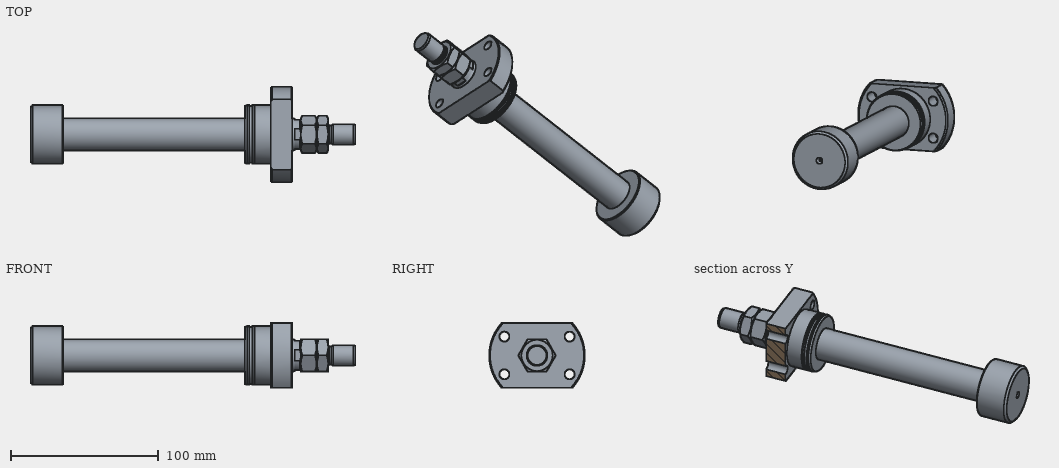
import cadquery as cq
import math


piston_length = 22.0
piston_radius = 20.0
piston_front_chamfer = 1.5
piston_back_chamfer = 0.7

centre_mouth_radius = 2.2
centre_drill_radius = 0.9
centre_drill_depth = 3.3
centre_cone_half_angle = 30
centre_cone_depth = (centre_mouth_radius - centre_drill_radius) / math.tan(math.radians(centre_cone_half_angle))

spigot_start = 145.2
spigot_length = 17.4
spigot_radius = 20.0
spigot_chamfer_length = 1.5
spigot_chamfer_height = 0.7
wide_groove_offset = 2.9
wide_groove_width = 2.0
wide_groove_depth = 0.7
narrow_groove_offset = 6.2
narrow_groove_width = 0.5
narrow_groove_depth = 0.2
flange_start = spigot_start + spigot_length
flange_thickness = 14.5
flange_end = flange_start + flange_thickness
flange_width = 65.0
flange_radius = flange_width / 2
flange_height = 44.0
flange_front_chamfer = 1.0
flange_back_chamfer = 0.7
bolt_hole_radius = 3.3
bolt_circle_radius = 25.5
bolt_angle = 30

rod_radius = 11.0
taper_gap = 0.7
taper_length = 1.3
taper_start = flange_end + taper_gap
wrench_start = taper_start + taper_length
wrench_diameter = 21.3
wrench_radius = wrench_diameter / 2
wrench_across_flats = 20.0
rod_shoulder = 182.8
shoulder_chamfer = 0.5

nut_across_flats = 22.0
nut_corner_radius = nut_across_flats / math.sqrt(3)
nut_face_radius = 10.5
nut_chamfer_angle = 30
thick_hexagon = 11.0
thin_hexagon = 8.0
nut_end = rod_shoulder + thick_hexagon + thin_hexagon

stud_radius = 7.0
stud_end = 220.0
relief_inset = 0.5
relief_radius = 6.2
relief_taper = 1.0
relief_floor = 1.3
relief_start = nut_end - relief_inset
relief_floor_start = relief_start + relief_taper
relief_floor_end = relief_floor_start + relief_floor
relief_end = relief_floor_end + relief_taper
stud_chamfer_length = 1.3
stud_chamfer_height = 0.7


def revolve_about_x(points):
    """Turn a closed (x, radius) outline about the X axis."""
    return cq.Workplane("XY").polyline(points).close().revolve(360, (0, 0, 0), (1, 0, 0))


def tube(start, length, outer, inner):
    """Ring about the X axis."""
    return cq.Workplane("YZ", origin=(start, 0, 0)).circle(outer).circle(inner).extrude(length)


def make_rod():
    """Piston, rod and stud turned in one piece."""
    rod = revolve_about_x([
        (0, 0),
        (0, piston_radius - piston_front_chamfer),
        (piston_front_chamfer, piston_radius),
        (piston_length - piston_back_chamfer, piston_radius),
        (piston_length, piston_radius - piston_back_chamfer),
        (piston_length, rod_radius),
        (taper_start, rod_radius),
        (wrench_start, wrench_radius),
        (rod_shoulder - shoulder_chamfer, wrench_radius),
        (rod_shoulder, wrench_radius - shoulder_chamfer),
        (rod_shoulder, stud_radius),
        (relief_start, stud_radius),
        (relief_floor_start, relief_radius),
        (relief_floor_end, relief_radius),
        (relief_end, stud_radius),
        (stud_end - stud_chamfer_length, stud_radius),
        (stud_end, stud_radius - stud_chamfer_height),
        (stud_end, 0),
    ])

    centre_hole = revolve_about_x([
        (0, 0),
        (0, centre_mouth_radius),
        (centre_cone_depth, centre_drill_radius),
        (centre_drill_depth, centre_drill_radius),
        (centre_drill_depth, 0),
    ])

    wrench_flats = (
        cq.Workplane("YZ", origin=(wrench_start, 0, 0))
        .rect(2 * rod_radius, 2 * rod_radius)
        .rect(wrench_across_flats, wrench_across_flats)
        .extrude(rod_shoulder - wrench_start)
    )
    return rod.cut(centre_hole).cut(wrench_flats)


def make_guide_flange():
    """Spigot and flange, bored to slide on the rod."""
    body = revolve_about_x([
        (spigot_start, rod_radius),
        (spigot_start, spigot_radius - spigot_chamfer_height),
        (spigot_start + spigot_chamfer_length, spigot_radius),
        (flange_start, spigot_radius),
        (flange_start, flange_radius - flange_front_chamfer),
        (flange_start + flange_front_chamfer, flange_radius),
        (flange_end - flange_back_chamfer, flange_radius),
        (flange_end, flange_radius - flange_back_chamfer),
        (flange_end, rod_radius),
    ])

    flats_envelope = (
        cq.Workplane("YZ", origin=(spigot_start, 0, 0))
        .rect(2 * flange_radius, flange_height)
        .extrude(flange_end - spigot_start)
    )
    body = body.intersect(flats_envelope)

    for offset, width, depth in (
        (wide_groove_offset, wide_groove_width, wide_groove_depth),
        (narrow_groove_offset, narrow_groove_width, narrow_groove_depth),
    ):
        body = body.cut(tube(spigot_start + offset, width, spigot_radius, spigot_radius - depth))

    hole_y = bolt_circle_radius * math.cos(math.radians(bolt_angle))
    hole_z = bolt_circle_radius * math.sin(math.radians(bolt_angle))
    bolt_holes = (
        cq.Workplane("YZ", origin=(flange_start, 0, 0))
        .rect(2 * hole_y, 2 * hole_z, forConstruction=True)
        .vertices()
        .circle(bolt_hole_radius)
        .extrude(flange_thickness)
    )
    return body.cut(bolt_holes)


def make_hexagon(start, thickness):
    """Hexagon with corners on the Y axis and both faces chamfered at the corners."""
    hexagon = (
        cq.Workplane("YZ", origin=(start, 0, 0))
        .polygon(6, 2 * nut_corner_radius)
        .extrude(thickness)
    )
    chamfer_length = (nut_corner_radius - nut_face_radius) * math.tan(math.radians(nut_chamfer_angle))
    end = start + thickness
    chamfer_envelope = revolve_about_x([
        (start, 0),
        (start, nut_face_radius),
        (start + chamfer_length, nut_corner_radius),
        (end - chamfer_length, nut_corner_radius),
        (end, nut_face_radius),
        (end, 0),
    ])
    return hexagon.intersect(chamfer_envelope)


def make_double_nut():
    """Thick and thin hexagon in one piece, bored for the stud."""
    thick = make_hexagon(rod_shoulder, thick_hexagon)
    thin = make_hexagon(rod_shoulder + thick_hexagon, thin_hexagon)
    bore = (
        cq.Workplane("YZ", origin=(rod_shoulder, 0, 0))
        .circle(stud_radius)
        .extrude(nut_end - rod_shoulder)
    )
    return thick.union(thin).cut(bore)


rod = make_rod()
guide_flange = make_guide_flange()
double_nut = make_double_nut()

result = cq.Compound.makeCompound([rod.val(), guide_flange.val(), double_nut.val()])